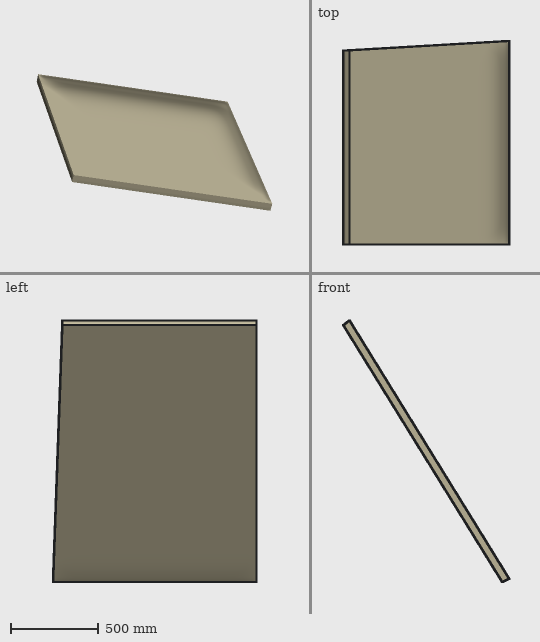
import cadquery as cq

length_x = 950.0
width_y = 1165.0
height_z = 1498.0

top_end_run = 36.0
top_end_rise = 28.0
bottom_end_run = 40.0
bottom_end_rise = 20.0

back_taper = 55.0

profile = [
    (0, height_z - top_end_rise),
    (top_end_run, height_z),
    (length_x, bottom_end_rise),
    (length_x - bottom_end_run, 0),
]
slab = cq.Workplane("XZ").polyline(profile).close().extrude(-width_y)

plan = [
    (0, 0),
    (length_x, 0),
    (length_x, width_y),
    (0, width_y - back_taper),
]
plan_prism = cq.Workplane("XY").polyline(plan).close().extrude(height_z)

result = slab.intersect(plan_prism)